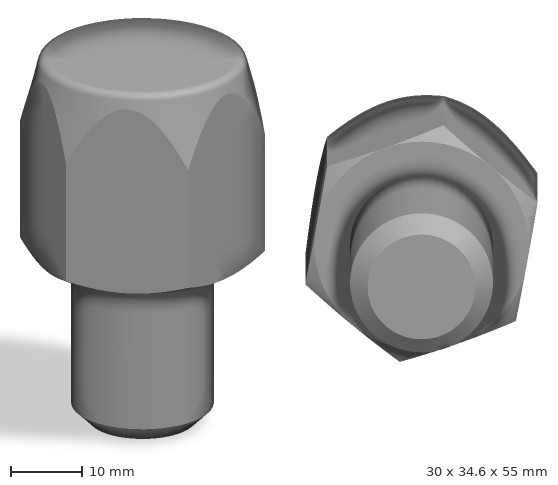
import cadquery as cq
import math

total_length = 55.0
across_flats = 30.0
head_height = 30.0
shank_diameter = 20.0
tip_chamfer = 2.5

crown_top_radius = 14.4
crown_angle = 15.0
crown_rounding = 1.2
underside_angle = 30.0

head_bottom = total_length - head_height
flat_radius = across_flats / 2
corner_radius = flat_radius / math.cos(math.radians(30))


def make_hex_prism():
    """Hexagonal bar with two corners on the Y axis."""
    return (
        cq.Workplane("XY")
        .workplane(offset=head_bottom)
        .transformed(rotate=(0, 0, 90))
        .polygon(6, 2 * corner_radius)
        .extrude(head_height)
    )


def make_turned_envelope():
    """Revolved envelope that cuts the crown and the underside of the head."""
    envelope_radius = corner_radius + 0.55
    crown_drop = (envelope_radius - crown_top_radius) / math.tan(math.radians(crown_angle))
    underside_rise = (envelope_radius - flat_radius) * math.tan(math.radians(underside_angle))
    return (
        cq.Workplane("XZ")
        .moveTo(0, head_bottom)
        .lineTo(flat_radius, head_bottom)
        .lineTo(envelope_radius, head_bottom + underside_rise)
        .lineTo(envelope_radius, total_length - crown_drop)
        .lineTo(crown_top_radius, total_length)
        .lineTo(0, total_length)
        .close()
        .revolve(360, (0, 0, 0), (0, 1, 0))
        .faces(">Z")
        .edges()
        .fillet(crown_rounding)
    )


def make_shank():
    """Plain round shank with a chamfered tip."""
    return (
        cq.Workplane("XY")
        .circle(shank_diameter / 2)
        .extrude(head_bottom)
        .faces("<Z")
        .chamfer(tip_chamfer)
    )


head = make_hex_prism().intersect(make_turned_envelope())
result = head.union(make_shank())